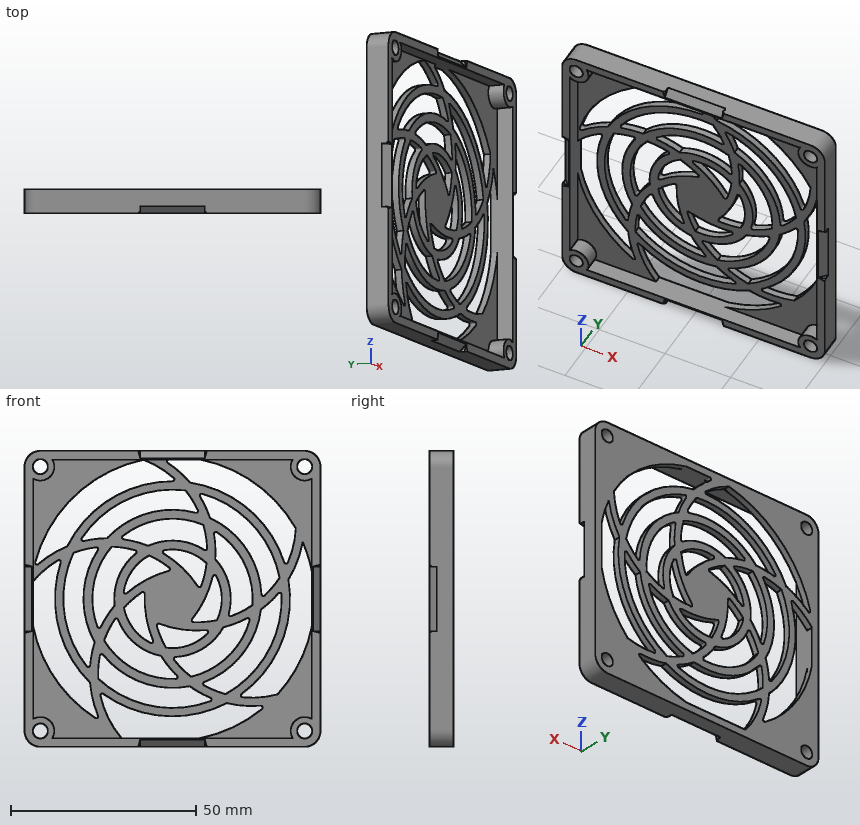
import cadquery as cq
import math


SIDE = 80.0
DEPTH = 6.6
CORNER_RADIUS = 4.4
WALL = 2.4
PLATE_THICKNESS = 2.0
PLATE_FRONT = DEPTH - PLATE_THICKNESS
CAVITY_SIDE = SIDE - 2 * WALL

SCREW_PITCH = 71.4
POST_DIAMETER = 7.5
SCREW_HOLE_DIAMETER = 4.0

NOTCH_LENGTH = 17.4
NOTCH_DEPTH = 2.0
NOTCH_FLARE = 0.6

MIDDLE_BANDS = [(15.8, 21.6), (24.1, 29.4)]
OUTER_BAND = (31.8, 38.3)
HUB_BAND_RADIUS = 13.3
OPENING_FILLET = 0.5

SPOKE_COUNT = 5
SPOKE_STEP = 2 * math.pi / SPOKE_COUNT
SPOKE_CENTER_DISTANCE = 21.4
SPOKE_ARC_RADIUS = 27.8
SPOKE_WIDTH = 2.3

TOP_OPENING = 1
BOTTOM_OPENING = 4

LEADING_EDGE = (SPOKE_CENTER_DISTANCE, 0.0, SPOKE_ARC_RADIUS - SPOKE_WIDTH / 2)
TRAILING_EDGE = (
    SPOKE_CENTER_DISTANCE * math.cos(SPOKE_STEP),
    SPOKE_CENTER_DISTANCE * math.sin(SPOKE_STEP),
    SPOKE_ARC_RADIUS + SPOKE_WIDTH / 2,
)


def front_plane(y):
    """Workplane facing -Y at the given Y; negative extrusions run toward +Y."""
    return cq.Workplane("XZ", origin=(0, y, 0))


def make_cavity():
    """Square prism filling the inside of the rim."""
    return front_plane(0).rect(CAVITY_SIDE, CAVITY_SIDE).extrude(-DEPTH)


def ring(radius):
    """Circle about the grille axis."""
    return (0.0, 0.0, radius)


def crossing(first, second):
    """Crossing of two circles, to the right when looking from first to second centre."""
    x1, z1, r1 = first
    x2, z2, r2 = second
    distance = math.hypot(x2 - x1, z2 - z1)
    ux, uz = (x2 - x1) / distance, (z2 - z1) / distance
    along = (distance**2 + r1**2 - r2**2) / (2 * distance)
    across = math.sqrt(r1**2 - along**2)
    return (x1 + along * ux + across * uz, z1 + along * uz - across * ux)


def arc_middle(circle, start, end):
    """Middle of the shorter arc of a circle between two of its points."""
    cx, cz, radius = circle
    dx = (start[0] + end[0]) / 2 - cx
    dz = (start[1] + end[1]) / 2 - cz
    stretch = radius / math.hypot(dx, dz)
    return (cx + dx * stretch, cz + dz * stretch)


def round_corner(opening, x, z):
    """Opening with its Y edge nearest to (x, z) filleted."""
    middle = (x, DEPTH - PLATE_THICKNESS / 2, z)
    corner_edge = cq.selectors.NearestToPointSelector(middle)
    return opening.edges("|Y").edges(corner_edge).fillet(OPENING_FILLET)


def make_opening(corners, edges, sharp_corners):
    """Prism through the plate bounded by arcs, with its sharp corners rounded.

    The n-th edge circle joins the n-th corner to the one after it.
    """
    outline = front_plane(PLATE_FRONT).moveTo(*corners[0])
    for start, end, circle in zip(corners, corners[1:] + corners[:1], edges):
        outline = outline.threePointArc(arc_middle(circle, start, end), end)
    opening = outline.close().extrude(-PLATE_THICKNESS)
    for x, z in sharp_corners:
        opening = round_corner(opening, x, z)
    return opening


def make_band_opening(inner_radius, outer_radius, round_outer_tip=True):
    """Four-sided opening between two rings and two neighbouring spokes."""
    inner, outer = ring(inner_radius), ring(outer_radius)
    inner_start = crossing(inner, LEADING_EDGE)
    inner_end = crossing(inner, TRAILING_EDGE)
    outer_end = crossing(outer, TRAILING_EDGE)
    outer_start = crossing(outer, LEADING_EDGE)
    corners = [inner_start, inner_end, outer_end, outer_start]
    edges = [inner, TRAILING_EDGE, outer, LEADING_EDGE]
    sharp_corners = [inner_start, outer_end] if round_outer_tip else [inner_start]
    return make_opening(corners, edges, sharp_corners)


def make_hub_opening():
    """Three-sided opening beside the hub, where neighbouring spokes meet."""
    outer = ring(HUB_BAND_RADIUS)
    tip = crossing(TRAILING_EDGE, LEADING_EDGE)
    outer_end = crossing(outer, TRAILING_EDGE)
    outer_start = crossing(outer, LEADING_EDGE)
    corners = [tip, outer_end, outer_start]
    edges = [TRAILING_EDGE, outer, LEADING_EDGE]
    return make_opening(corners, edges, [tip, outer_end])


def turned(opening, steps):
    """Opening turned counterclockwise about the grille axis by whole spoke steps."""
    return opening.rotate((0, 0, 0), (0, -1, 0), math.degrees(steps * SPOKE_STEP))


def make_top_opening(pointed):
    """Outer opening cut off by the +Z wall, its tip rounded where a spoke meets the wall."""
    spoke_angle = (TOP_OPENING + 1) * SPOKE_STEP
    spoke_x = SPOKE_CENTER_DISTANCE * math.cos(spoke_angle)
    spoke_z = SPOKE_CENTER_DISTANCE * math.sin(spoke_angle)
    wall_z = CAVITY_SIDE / 2
    tip_x = spoke_x + math.sqrt(TRAILING_EDGE[2] ** 2 - (wall_z - spoke_z) ** 2)
    trimmed = turned(pointed, TOP_OPENING).intersect(make_cavity())
    return round_corner(trimmed, tip_x, wall_z)


def make_bottom_opening(rounded):
    """Outer opening whose -X end runs along its spoke as far as the -Z wall."""
    inner_radius, outer_radius = OUTER_BAND
    reach = outer_radius + WALL
    long_opening = turned(make_band_opening(inner_radius, reach), BOTTOM_OPENING)
    left_half = make_cavity().translate((-CAVITY_SIDE / 2, 0, 0))
    extension = long_opening.intersect(make_cavity()).intersect(left_half)
    return turned(rounded, BOTTOM_OPENING).union(extension)


def make_outer_openings():
    """The five outermost openings, which differ where the square wall crosses them."""
    rounded = make_band_opening(*OUTER_BAND)
    pointed = make_band_opening(*OUTER_BAND, round_outer_tip=False)
    return [
        pointed,
        make_top_opening(pointed),
        turned(rounded, 2),
        turned(rounded, 3),
        make_bottom_opening(rounded),
    ]


def make_rim():
    """Rounded square wall with a square cavity."""
    outside = front_plane(0).rect(SIDE, SIDE).extrude(-DEPTH).edges("|Y").fillet(CORNER_RADIUS)
    return outside.cut(make_cavity())


def make_plate():
    """Back plate with every grille opening cut through it."""
    plate = front_plane(PLATE_FRONT).rect(CAVITY_SIDE, CAVITY_SIDE).extrude(-PLATE_THICKNESS)
    repeated = [make_band_opening(*band) for band in MIDDLE_BANDS]
    repeated.append(make_hub_opening())
    for opening in repeated:
        for steps in range(SPOKE_COUNT):
            plate = plate.cut(turned(opening, steps))
    for opening in make_outer_openings():
        plate = plate.cut(opening)
    return plate


def make_flare():
    """Small three-sided pyramid that breaks the outer corner at the notch's +X end."""
    end, top = NOTCH_LENGTH / 2, SIDE / 2
    corner = (end, 0, top)
    along_side = (end + NOTCH_FLARE, 0, top)
    behind = (end, NOTCH_FLARE, top)
    below = (end, 0, top - NOTCH_DEPTH)
    triangles = [
        (corner, along_side, behind),
        (corner, behind, below),
        (corner, below, along_side),
        (along_side, below, behind),
    ]
    faces = [
        cq.Face.makeFromWires(cq.Wire.makePolygon([cq.Vector(*p) for p in points], close=True))
        for points in triangles
    ]
    return cq.Workplane(cq.Solid.makeSolid(cq.Shell.makeShell(faces)))


def make_notch():
    """Cutter for the +Z side: a 45 degree slope, flared at both ends."""
    top = SIDE / 2
    slope = (
        cq.Workplane("YZ")
        .polyline([(0, top), (NOTCH_DEPTH, top), (0, top - NOTCH_DEPTH)])
        .close()
        .extrude(NOTCH_LENGTH / 2, both=True)
    )
    flare = make_flare()
    return slope.union(flare).union(flare.mirror("YZ"))


body = make_rim().union(make_plate())

screws = front_plane(0).rect(SCREW_PITCH, SCREW_PITCH, forConstruction=True).vertices()
body = body.union(screws.circle(POST_DIAMETER / 2).extrude(-DEPTH))
body = body.cut(screws.circle(SCREW_HOLE_DIAMETER / 2).extrude(-DEPTH))

notch = make_notch()
for quarter_turn in range(4):
    body = body.cut(notch.rotate((0, 0, 0), (0, 1, 0), 90 * quarter_turn))

result = body